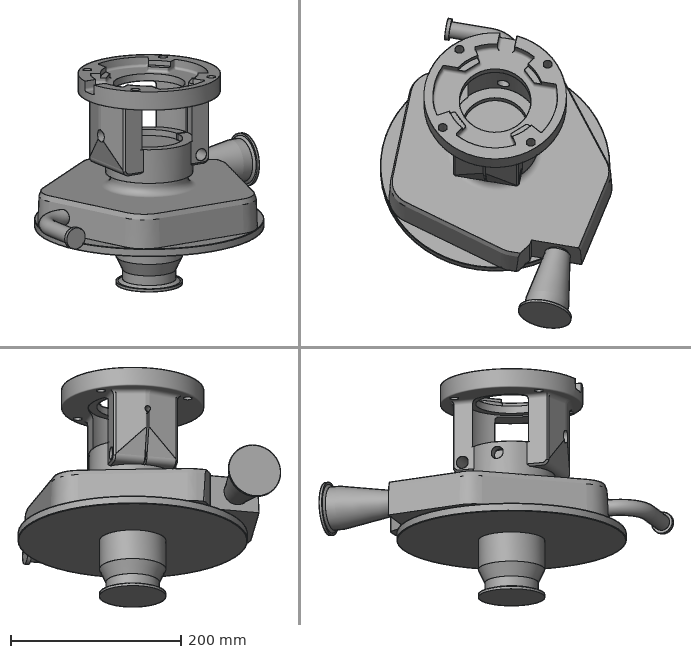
import cadquery as cq
import math

inlet_end = -68.5
inlet_cone_bottom = -51.0
inlet_cone_top = -34.7
disk_bottom = 0.7
disk_top = 10.2
casing_edge = 45.0
casing_top = 51.2
neck_bottom = 61.0
collar_bottom = 67.3
leg_bottom = 78.5
collar_top = 108.2
ridge_bottom = 119.0
flange_bottom = 165.0
leg_bore_top = 166.8
pocket_floor = 175.5
tread_level = 181.8
flange_top = 187.5

disk_radius = 135.0
disk_chamfer = 0.7
casing_apothem = 115.2
side_step = 72
casing_corner_radius = 34.7
wall_draft = 2.4
shoulder_angle = 20.0
left_wall_angle = 80.4
outlet_face_y = 109.7
step_foot_x = -64.5
outlet_face_left = -124.5
lip_y = 133.0
lip_left_x = -50.0
step_knee = (-63.3, 116.0)
step_shoulder = (-54.5, 129.5)
lip_round_middle = (-52.5, 131.5)

neck_radius = 45.7
neck_fillet = neck_bottom - casing_top
collar_radius = 51.2
collar_bore_radius = 39.0
collar_bore_depth = 7.3
inlet_radius = 39.0
inlet_pipe_radius = 31.5

leg_half_width = 39.0
leg_bore_radius = 52.3
leg_side_y = 57.8
leg_front_y = 59.5
leg_corner = 2.5
ridge_y = 68.5
ridge_half_width = 2.5
leg_bottom_radius = 7.3
leg_top_fillet = 5.0
flange_radius = 83.7
flange_edge_round = 1.5
flange_bore_radius = 42.0
bolt_circle_radius = 74.5
bolt_hole_radius = 5.0
bolt_count = 4
diagonal = 45
pocket_side_radius = 73.0
pocket_end_radius = 69.0
tab_flat = 49.5
tab_half_angle = 13.5
tread_radius = 57.5
tab_level_side_y = 28.5
pocket_corner_fillet = 2.0
pocket_floor_fillet = 3.3
keyway_width = 20.5

hole_radius = 7.3
leg_hole_z = 121.0
collar_hole_z = 95.0
clamp_hole_y = 47.5
clamp_hole_z = 90.5
slit_width = 2.5
slit_top = 142.5
slit_end_radius = 3.3

nozzle_x = -96.0
nozzle_z = 32.0
nozzle_end = 195.0
nozzle_flange_radius = 31.5
nozzle_pipe_radius = 25.5
nozzle_cone_top = 177.0
nozzle_cone_bottom = 115.5
nozzle_throat_radius = 15.5
nozzle_root_radius = 12.5

drain_z = 29.5
drain_radius = 9.5
drain_start_y = -95.0
drain_axis_y = -158.0
drain_bend_radius = 34.7
drain_end_x = 88.0
drain_flange_radius = 12.8
drain_flange_thickness = 4.8

clamp_flange_thickness = 3.3
clamp_flange_taper = 2.5

full_turn = 360
embed = 3.5


def polar(radius, degrees):
    angle = math.radians(degrees)
    return (radius * math.cos(angle), radius * math.sin(angle))


def cylinder(radius, bottom, top):
    return cq.Workplane("XY").workplane(offset=bottom).circle(radius).extrude(top - bottom)


def base_disk():
    disk = cylinder(disk_radius, disk_bottom, disk_top)
    return disk.faces("<Z or >Z").edges().chamfer(disk_chamfer)


def casing():
    """Five-sided volute housing with drafted walls and a bevelled top edge."""
    half_step = side_step / 2
    corner_distance = casing_apothem / math.cos(math.radians(half_step))
    lower_right = polar(corner_distance, -half_step)
    upper_right = polar(corner_distance, half_step)
    bottom = polar(corner_distance, 3 * side_step + half_step)

    normal_x, normal_y = polar(1, side_step)
    lip_start = ((casing_apothem - normal_y * lip_y) / normal_x, lip_y)

    lean = 1 / math.tan(math.radians(left_wall_angle))
    wall_x_at_zero = outlet_face_left - lean * outlet_face_y
    wall_top = (wall_x_at_zero + lean * lip_y, lip_y)
    normal_x, normal_y = polar(1, 3 * side_step)
    left_y = (casing_apothem - normal_x * wall_x_at_zero) / (normal_x * lean + normal_y)
    left = (wall_x_at_zero + lean * left_y, left_y)

    corners = [lower_right, upper_right, lip_start, wall_top, left, bottom]
    outline = (
        cq.Sketch()
        .polygon(corners + corners[:1])
        .vertices("not <(1,-1,0)")
        .fillet(casing_corner_radius)
    )
    walls = (
        cq.Workplane("XY")
        .workplane(offset=disk_top)
        .placeSketch(outline)
        .extrude(casing_edge - disk_top, taper=wall_draft)
    )
    body = walls.faces(">Z").wires().toPending().extrude(casing_top - casing_edge, taper=shoulder_angle)

    beyond = disk_radius + nozzle_end
    step = (
        cq.Workplane("XY")
        .workplane(offset=disk_top)
        .moveTo(-beyond, outlet_face_y)
        .lineTo(step_foot_x, outlet_face_y)
        .lineTo(*step_knee)
        .lineTo(*step_shoulder)
        .threePointArc(lip_round_middle, (lip_left_x, lip_y))
        .lineTo(lip_left_x, beyond)
        .lineTo(-beyond, beyond)
        .close()
        .extrude(casing_top - disk_top)
    )
    return body.cut(step)


def neck_and_collar():
    return (
        cq.Workplane("XZ")
        .moveTo(0, disk_top)
        .lineTo(neck_radius + neck_fillet, disk_top)
        .lineTo(neck_radius + neck_fillet, casing_top)
        .radiusArc((neck_radius, neck_bottom), neck_fillet)
        .lineTo(neck_radius, collar_bottom)
        .lineTo(collar_radius, collar_bottom)
        .lineTo(collar_radius, collar_top)
        .lineTo(0, collar_top)
        .close()
        .revolve(full_turn, (0, 0), (0, 1))
    )


def inlet():
    rim = inlet_end + clamp_flange_thickness
    return (
        cq.Workplane("XZ")
        .polyline([
            (0, disk_top),
            (inlet_radius, disk_top),
            (inlet_radius, inlet_cone_top),
            (inlet_pipe_radius, inlet_cone_bottom),
            (inlet_pipe_radius, rim + clamp_flange_taper),
            (inlet_radius - clamp_flange_taper, rim),
            (inlet_radius, rim),
            (inlet_radius, inlet_end),
            (0, inlet_end),
        ])
        .close()
        .revolve(full_turn, (0, 0), (0, 1))
    )


def outlet_nozzle():
    rim = nozzle_end - clamp_flange_thickness
    return (
        cq.Workplane("XY", origin=(nozzle_x, 0, nozzle_z))
        .polyline([
            (0, outlet_face_y - embed),
            (nozzle_root_radius, outlet_face_y - embed),
            (nozzle_root_radius, outlet_face_y),
            (nozzle_throat_radius, nozzle_cone_bottom - clamp_flange_taper),
            (nozzle_throat_radius, nozzle_cone_bottom),
            (nozzle_pipe_radius, nozzle_cone_top),
            (nozzle_pipe_radius, rim - clamp_flange_taper),
            (nozzle_flange_radius - clamp_flange_taper, rim),
            (nozzle_flange_radius, rim),
            (nozzle_flange_radius, nozzle_end),
            (0, nozzle_end),
        ])
        .close()
        .revolve(full_turn, (0, 0), (0, 1))
    )


def drain_pipe():
    bend_top = drain_axis_y + drain_bend_radius
    path = (
        cq.Workplane("XY", origin=(0, 0, drain_z))
        .moveTo(0, drain_start_y)
        .lineTo(0, bend_top)
        .radiusArc((drain_bend_radius, drain_axis_y), -drain_bend_radius)
        .lineTo(drain_end_x, drain_axis_y)
    )
    pipe = cq.Workplane("XZ", origin=(0, drain_start_y, drain_z)).circle(drain_radius).sweep(path)
    rim = (
        cq.Workplane("YZ", origin=(drain_end_x, drain_axis_y, drain_z))
        .circle(drain_flange_radius)
        .extrude(-drain_flange_thickness)
    )
    return pipe.union(rim)


def leg():
    """Ridged leg on the +Y side, tapering inward below the ridge."""
    plan = (
        cq.Workplane("XY")
        .workplane(offset=leg_bottom)
        .polyline([
            (leg_half_width, 0),
            (leg_half_width, leg_side_y),
            (leg_half_width - leg_corner, leg_front_y),
            (ridge_half_width, ridge_y),
            (-ridge_half_width, ridge_y),
            (-leg_half_width + leg_corner, leg_front_y),
            (-leg_half_width, leg_side_y),
            (-leg_half_width, 0),
        ])
        .close()
        .extrude(flange_bottom - leg_bottom)
    )
    side = (
        cq.Workplane("YZ")
        .moveTo(0, leg_bottom)
        .lineTo(leg_front_y - leg_bottom_radius, leg_bottom)
        .radiusArc((leg_front_y, leg_bottom + leg_bottom_radius), -leg_bottom_radius)
        .lineTo(ridge_y, ridge_bottom)
        .lineTo(ridge_y, flange_bottom)
        .lineTo(0, flange_bottom)
        .close()
        .extrude(leg_half_width, both=True)
    )
    block = plan.intersect(side)
    return block.faces("<Z").edges("|Y").chamfer(leg_corner)


def flange_pocket():
    """Recess in the flange top, leaving four tabs, with a keyway out to -Y."""
    near_x = diagonal - tab_half_angle
    near_y = diagonal + tab_half_angle
    tab_corner_radius = tab_flat / math.cos(math.radians(tab_half_angle))
    top_right = polar(pocket_end_radius, near_y)
    right_upper = polar(pocket_side_radius, near_x)
    right_lower = (math.sqrt(pocket_side_radius**2 - tab_level_side_y**2), -tab_level_side_y)
    level_corner = (tab_flat * math.sqrt(2) - tab_level_side_y, -tab_level_side_y)
    upper_tab_top = polar(tab_corner_radius, near_y)
    upper_tab_side = polar(tab_corner_radius, near_x)
    lower_tab_end = polar(tab_corner_radius, -near_y)
    bottom_right = polar(pocket_end_radius, -near_y)

    def mirrored(point):
        return (-point[0], point[1])

    recess = (
        cq.Workplane("XY")
        .workplane(offset=pocket_floor)
        .moveTo(*mirrored(top_right))
        .threePointArc((0, pocket_end_radius), top_right)
        .lineTo(*upper_tab_top)
        .lineTo(*upper_tab_side)
        .lineTo(*right_upper)
        .threePointArc((pocket_side_radius, 0), right_lower)
        .lineTo(*level_corner)
        .lineTo(*lower_tab_end)
        .lineTo(*bottom_right)
        .threePointArc((0, -pocket_end_radius), mirrored(bottom_right))
        .lineTo(*mirrored(lower_tab_end))
        .lineTo(*mirrored(level_corner))
        .lineTo(*mirrored(right_lower))
        .threePointArc((-pocket_side_radius, 0), mirrored(right_upper))
        .lineTo(*mirrored(upper_tab_side))
        .lineTo(*mirrored(upper_tab_top))
        .close()
        .extrude(flange_top - pocket_floor)
        .edges("|Z")
        .fillet(pocket_corner_fillet)
    )
    keyway = (
        cq.Workplane("XY")
        .workplane(offset=pocket_floor)
        .center(0, -flange_radius / 2)
        .rect(keyway_width, flange_radius + keyway_width)
        .extrude(flange_top - pocket_floor)
    )
    recess = recess.union(keyway).faces("<Z").edges().fillet(pocket_floor_fillet)
    return recess.union(cylinder(tread_radius, tread_level, flange_top))


def lantern():
    """Motor flange carried on two opposite legs."""
    flange = cylinder(flange_radius, flange_bottom, flange_top).faces("<Z").edges().fillet(flange_edge_round)
    frame = flange.union(leg()).union(leg().mirror("XZ"))
    margin = 0.5
    reach = leg_half_width + margin
    leg_joint = cq.selectors.BoxSelector(
        (-reach, -ridge_y - margin, flange_bottom - margin),
        (reach, ridge_y + margin, flange_bottom + margin),
    )
    frame = frame.edges(leg_joint).fillet(leg_top_fillet)
    bolt_holes = (
        cq.Workplane("XY")
        .workplane(offset=flange_bottom)
        .polarArray(bolt_circle_radius, diagonal, full_turn, bolt_count)
        .circle(bolt_hole_radius)
        .extrude(flange_top - flange_bottom)
    )
    leg_bore = cylinder(leg_bore_radius, collar_top, leg_bore_top)
    flange_bore = cylinder(flange_bore_radius, leg_bore_top, flange_top)
    return frame.cut(leg_bore).cut(flange_bore).cut(flange_pocket()).cut(bolt_holes)


def cross_holes():
    """Leg, collar and clamp-bolt holes."""
    leg_hole = (
        cq.Workplane("XZ", origin=(0, 0, leg_hole_z))
        .circle(hole_radius)
        .extrude(ridge_y)
    )
    collar_hole = (
        cq.Workplane("YZ", origin=(-collar_radius, 0, collar_hole_z))
        .circle(hole_radius)
        .extrude(collar_radius - collar_bore_radius)
    )
    clamp_hole = (
        cq.Workplane("YZ", origin=(0, clamp_hole_y, clamp_hole_z))
        .circle(hole_radius)
        .extrude(leg_half_width, both=True)
    )
    return leg_hole.union(collar_hole).union(clamp_hole)


def clamp_slit():
    """Keyhole slit splitting the +Y leg."""
    depth = ridge_y - collar_bore_radius
    slit = cq.Workplane("XY").box(slit_width, depth, slit_top - leg_bottom, centered=(True, False, False))
    slit = slit.translate((0, collar_bore_radius, leg_bottom))
    end = (
        cq.Workplane("XZ", origin=(0, collar_bore_radius, slit_top))
        .circle(slit_end_radius)
        .extrude(-depth)
    )
    return slit.union(end)


result = base_disk()
for piece in (casing(), neck_and_collar(), inlet(), outlet_nozzle(), drain_pipe(), lantern()):
    result = result.union(piece)

result = (
    result
    .cut(cylinder(collar_bore_radius, collar_top - collar_bore_depth, collar_top))
    .cut(cross_holes())
    .cut(clamp_slit())
)